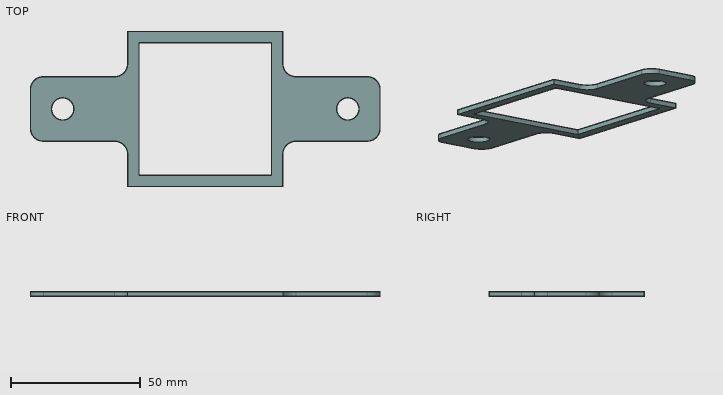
import cadquery as cq

length = 135.0
frame_side = 60.0
window_side = 51.0
thickness = 1.9
tab_width = 25.0
corner_radius = 5.0
hole_diameter = 8.5
hole_spacing = 110.0


def plate(size_x, size_y):
    """Centred rectangular plate resting on the XY plane."""
    return cq.Workplane("XY").box(size_x, size_y, thickness, centered=(True, True, False))


strip = plate(length, tab_width).edges("|Z").fillet(corner_radius)
body = plate(frame_side, frame_side).union(strip)

junction_box = cq.selectors.BoxSelector(
    (-frame_side / 2 - corner_radius / 2, -tab_width / 2 - corner_radius / 2, -thickness),
    (frame_side / 2 + corner_radius / 2, tab_width / 2 + corner_radius / 2, 2 * thickness),
)
body = body.edges("|Z").edges(junction_box).fillet(corner_radius)

body = body.cut(plate(window_side, window_side))
hole_centers = [(-hole_spacing / 2, 0), (hole_spacing / 2, 0)]
holes = cq.Workplane("XY").pushPoints(hole_centers).circle(hole_diameter / 2).extrude(thickness)

result = body.cut(holes)